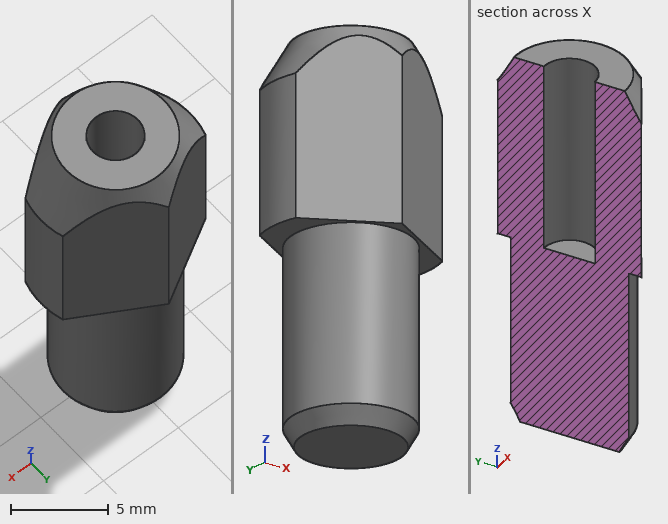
import cadquery as cq
import math

total_height = 22.0
head_height = 11.0
shank_height = total_height - head_height

head_diameter = 10.0
ridge_span = 8.51
flat_angle = math.radians(30)
head_cone_height = 3.0

shank_diameter = 7.0
tip_cone_height = 1.0
cone_angle = math.radians(30)
bore_diameter = 3.0
bore_depth = 11.0


def make_turned_envelope():
    """Round blank with a tapered tip and a tapered top."""
    head_radius = head_diameter / 2
    shank_radius = shank_diameter / 2
    top_radius = head_radius - head_cone_height * math.tan(cone_angle)
    tip_radius = shank_radius - tip_cone_height * math.tan(cone_angle)
    profile = [
        (0, 0),
        (tip_radius, 0),
        (shank_radius, tip_cone_height),
        (shank_radius, shank_height),
        (head_radius, shank_height),
        (head_radius, total_height - head_cone_height),
        (top_radius, total_height),
        (0, total_height),
    ]
    return cq.Workplane("XZ").polyline(profile).close().revolve(360, (0, 0), (0, 1))


def make_rhombic_prism():
    """Full-height prism whose four sides form the flats of the head."""
    half_y = ridge_span / 2
    half_x = half_y / math.tan(flat_angle)
    corners = [(half_x, 0), (0, half_y), (-half_x, 0), (0, -half_y)]
    return cq.Workplane("XY").polyline(corners).close().extrude(total_height)


body = make_turned_envelope().intersect(make_rhombic_prism())
bore = (
    cq.Workplane("XY")
    .workplane(offset=total_height - bore_depth)
    .circle(bore_diameter / 2)
    .extrude(bore_depth)
)
result = body.cut(bore)